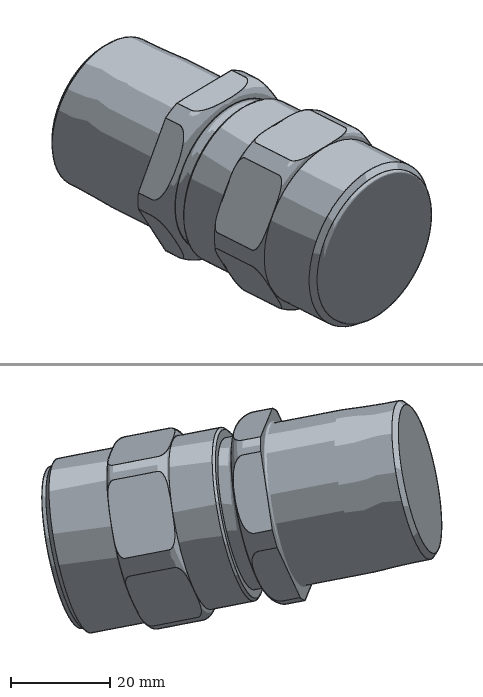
import cadquery as cq
import math

total_length = 74.65

across_flats = 36.0
corner_diameter = 39.5

nose_diameter = 30.5
nose_chamfer = 1.05
taper_start_diameter = 32.6
taper_end_x = 13.0
barrel_diameter = 33.4
barrel_root_fillet = 0.41
adapter_hex_start_x = 27.6
adapter_hex_end_x = 34.7
adapter_hex_rounding = 3.35
neck_diameter = 31.2
neck_fillet = 0.9

nut_start_x = 37.85
skirt_diameter = 35.7
skirt_chamfer = 0.5
nut_hex_start_x = 47.5
nut_hex_end_x = 60.4
nut_hex_rounding = 1.8
rear_diameter = 35.8
rear_cone_start_x = 72.6
lip_start_x = 73.7
lip_diameter = 33.4
lip_fillet = 0.41


def hex_prism(start_x, end_x):
    """Hexagonal prism along X with flats facing +Z and -Z."""
    across_corners = across_flats / math.cos(math.radians(30))
    return cq.Workplane("YZ", origin=(start_x, 0, 0)).polygon(6, across_corners).extrude(end_x - start_x)


def turned(profile):
    """Revolve a closed half profile about the X axis."""
    return profile.close().revolve(360, (0, 0, 0), (1, 0, 0))


def rounded_hexagon(start_x, end_x, start_rounding, end_rounding):
    """Hexagon whose corners are turned down and rounded towards either end."""
    blank = cq.Workplane("YZ", origin=(start_x, 0, 0)).circle(corner_diameter / 2).extrude(end_x - start_x)
    if start_rounding > 0:
        blank = blank.edges("<X").fillet(start_rounding)
    if end_rounding > 0:
        blank = blank.edges(">X").fillet(end_rounding)
    return blank.intersect(hex_prism(start_x, end_x))


def make_adapter():
    barrel_radius = barrel_diameter / 2
    neck_radius = neck_diameter / 2
    barrel = turned(
        cq.Workplane("XY")
        .lineTo(0, nose_diameter / 2)
        .lineTo(nose_chamfer, taper_start_diameter / 2)
        .lineTo(taper_end_x, barrel_radius)
        .lineTo(adapter_hex_start_x - barrel_root_fillet, barrel_radius)
        .radiusArc((adapter_hex_start_x, barrel_radius + barrel_root_fillet), -barrel_root_fillet)
        .lineTo(adapter_hex_start_x, 0)
    )
    hexagon = rounded_hexagon(adapter_hex_start_x, adapter_hex_end_x, 0, adapter_hex_rounding)
    neck = turned(
        cq.Workplane("XY")
        .moveTo(adapter_hex_end_x, 0)
        .lineTo(adapter_hex_end_x, neck_radius + neck_fillet)
        .radiusArc((adapter_hex_end_x + neck_fillet, neck_radius), -neck_fillet)
        .lineTo(nut_start_x, neck_radius)
        .lineTo(nut_start_x, 0)
    )
    return barrel.union(hexagon).union(neck)


def make_nut():
    skirt_radius = skirt_diameter / 2
    rear_radius = rear_diameter / 2
    lip_radius = lip_diameter / 2
    skirt = turned(
        cq.Workplane("XY")
        .moveTo(nut_start_x, 0)
        .lineTo(nut_start_x, skirt_radius - skirt_chamfer)
        .lineTo(nut_start_x + skirt_chamfer, skirt_radius)
        .lineTo(nut_hex_start_x, skirt_radius)
        .lineTo(nut_hex_start_x, 0)
    )
    hexagon = rounded_hexagon(nut_hex_start_x, nut_hex_end_x, nut_hex_rounding, nut_hex_rounding)
    rear = turned(
        cq.Workplane("XY")
        .moveTo(nut_hex_end_x, 0)
        .lineTo(nut_hex_end_x, rear_radius)
        .lineTo(rear_cone_start_x, rear_radius)
        .lineTo(lip_start_x, lip_radius)
        .lineTo(total_length - lip_fillet, lip_radius)
        .radiusArc((total_length, lip_radius - lip_fillet), lip_fillet)
        .lineTo(total_length, 0)
    )
    return skirt.union(hexagon).union(rear)


adapter = make_adapter()
nut = make_nut()

result = cq.Compound.makeCompound([adapter.solids().val(), nut.solids().val()])